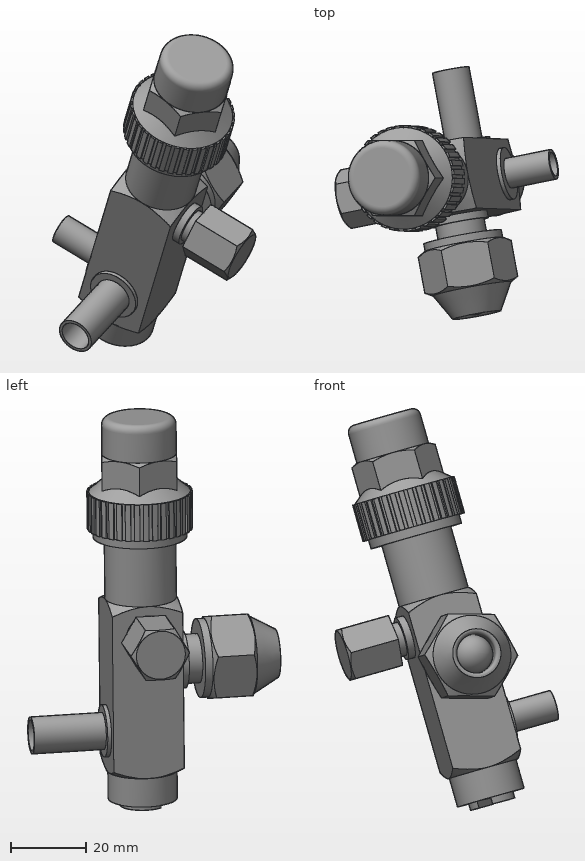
import cadquery as cq
import math


YAW = 10.8
TILT = 15.9
ROLL = 0.6

BLOCK_WIDTH = 19.1
BLOCK_BOTTOM = -39.2
BLOCK_TOP = 8.3
BLOCK_CORNER_ANGLE = 30.0
STEM_DIAMETER = 19.1

FOOT_DIAMETER = 18.5
FOOT_BOTTOM = -47.1
FOOT_BOSS_DIAMETER = 12.3
FOOT_BOSS_HEIGHT = 1.8
FOOT_SLOT_WIDTH = 4.0
FOOT_SLOT_ANGLE = 60.0

SIDE_BOSS_DIAMETER = 11.5
SIDE_BOSS_END = 11.5
SIDE_NECK_DIAMETER = 9.2
SIDE_CAP_START = 13.9
SIDE_CAP_END = 27.9
SIDE_CAP_FLATS = 13.8
SIDE_CAP_FACE_DIAMETER = 13.2

FLARE_LEVEL = -9.5
FLARE_BOSS_DIAMETER = 15.4
FLARE_BOSS_END = 11.5
FLARE_NECK_DIAMETER = 13.1
NUT_START = 15.4
NUT_COLLAR_DIAMETER = 21.0
NUT_HEX_START = 17.4
NUT_FLATS = 21.8
NUT_CONE_START = 29.5
NUT_END = 36.5
NUT_END_DIAMETER = 13.0
NUT_BORE_DIAMETER = 10.5
NUT_MOUTH_FILLET = 1.0
BONNET_RECESS = 0.1

TUBE_LEVEL = -28.0
TUBE_WALL = 0.9
TUBE_RING_HEIGHT = 1.1
BACK_TUBE_DIAMETER = 9.9
BACK_TUBE_END = 30.0
BACK_RING_DIAMETER = 14.0
RIGHT_TUBE_DIAMETER = 8.1
RIGHT_TUBE_END = 23.2
RIGHT_RING_DIAMETER = 14.0

CAP_BOTTOM = 25.2
CAP_COLLAR_DIAMETER = 25.1
KNURL_BOTTOM = 27.6
KNURL_TOP = 37.7
KNURL_DIAMETER = 28.1
KNURL_GROOVE_DEPTH = 0.5
KNURL_GROOVE_WIDTH = 1.0
KNURL_GROOVES = 36
KNURL_START_ANGLE = 12.0
SHOULDER_ANGLE = 40.0
CAP_HEX_FLATS = 20.0
CAP_HEX_TOP = 48.1
CAP_CROWN_DIAMETER = 19.9
CAP_TOP = 58.1
CAP_CROWN_FILLET = 2.0

HEX_CHAMFER_ANGLE = 30.0


def pose(body):
    """Turn an upright body to its leaning position."""
    origin = (0, 0, 0)
    body = body.rotate(origin, (0, 0, 1), YAW)
    body = body.rotate(origin, (0, 1, 0), -TILT)
    return body.rotate(origin, (1, 0, 0), -ROLL)


def cylinder(plane, diameter, start, end):
    """Cylinder along the normal of the plane, between two distances from it."""
    return cq.Workplane(plane).workplane(offset=start).circle(diameter / 2).extrude(end - start)


def hexagon(plane, flats, start, end):
    """Hexagon bar along the normal of the plane, with two corners on its x direction."""
    corners = flats / math.cos(math.pi / 6)
    return cq.Workplane(plane).workplane(offset=start).polygon(6, corners).extrude(end - start)


def turned(plane, profile):
    """Solid of revolution about the normal of the plane from (radius, distance) points."""
    start_distance = profile[0][1]
    end_distance = profile[-1][1]
    points = [(0, start_distance), *profile, (0, end_distance)]
    turning_plane = cq.Plane(plane.origin, plane.xDir, -plane.yDir)
    return cq.Workplane(turning_plane).polyline(points).close().revolve(360, (0, 0), (0, 1))


def corner_drop(inner_radius, outer_radius, angle):
    """Axial length of a turned corner chamfer at an angle to the end face."""
    return (outer_radius - inner_radius) * math.tan(math.radians(angle))


yaw = math.radians(YAW)
tilt = math.radians(TILT)
valve_axis = cq.Plane((0, 0, 0), (math.cos(yaw), -math.sin(yaw), 0), (0, 0, 1))
side_axis = cq.Plane((0, 0, 0), (0, 1, 0), (-1, 0, 0))
flare_axis = cq.Plane((0, 0, FLARE_LEVEL), (math.cos(tilt), 0, -math.sin(tilt)), (0, -1, 0))
back_tube_axis = cq.Plane((0, 0, TUBE_LEVEL), (1, 0, 0), (0, 1, 0))
right_tube_axis = cq.Plane((0, 0, TUBE_LEVEL), (0, 1, 0), (1, 0, 0))


def make_block():
    """Square bar with its corners turned down at both ends."""
    bar = cq.Workplane("XY").workplane(offset=BLOCK_BOTTOM)
    bar = bar.rect(BLOCK_WIDTH, BLOCK_WIDTH).extrude(BLOCK_TOP - BLOCK_BOTTOM)
    face_radius = BLOCK_WIDTH / 2
    corner_radius = BLOCK_WIDTH / math.sqrt(2)
    drop = corner_drop(face_radius, corner_radius, BLOCK_CORNER_ANGLE)
    envelope = turned(valve_axis, [
        (face_radius, BLOCK_BOTTOM),
        (corner_radius, BLOCK_BOTTOM + drop),
        (corner_radius, BLOCK_TOP - drop),
        (face_radius, BLOCK_TOP),
    ])
    return bar.intersect(envelope)


def make_foot():
    """Round foot that ends in a slotted boss."""
    boss_bottom = FOOT_BOTTOM - FOOT_BOSS_HEIGHT
    foot = cylinder(valve_axis, FOOT_DIAMETER, FOOT_BOTTOM, BLOCK_BOTTOM)
    boss = cylinder(valve_axis, FOOT_BOSS_DIAMETER, boss_bottom, FOOT_BOTTOM)
    slot = cq.Workplane("XY").workplane(offset=boss_bottom).transformed(rotate=(0, 0, FOOT_SLOT_ANGLE))
    slot = slot.rect(FOOT_BOSS_DIAMETER, FOOT_SLOT_WIDTH).extrude(FOOT_BOSS_HEIGHT)
    return foot.union(boss.cut(slot))


def add_tube(housing, axis, diameter, end, ring_diameter):
    """Open tube with a solder ring where it leaves the block."""
    face = BLOCK_WIDTH / 2
    ring = cylinder(axis, ring_diameter, face, face + TUBE_RING_HEIGHT)
    tube = cylinder(axis, diameter, face, end)
    bore = cylinder(axis, diameter - 2 * TUBE_WALL, face, end)
    return housing.union(ring).union(tube).cut(bore)


def make_housing():
    """Block with stem, foot, both port necks and both tubes."""
    face = BLOCK_WIDTH / 2
    housing = make_block().union(make_foot())
    housing = housing.union(cylinder(valve_axis, STEM_DIAMETER, BLOCK_TOP, CAP_BOTTOM))
    housing = housing.union(cylinder(side_axis, SIDE_BOSS_DIAMETER, face, SIDE_BOSS_END))
    housing = housing.union(cylinder(side_axis, SIDE_NECK_DIAMETER, face, SIDE_CAP_START))
    housing = housing.union(cylinder(flare_axis, FLARE_BOSS_DIAMETER, face, FLARE_BOSS_END))
    housing = housing.union(cylinder(flare_axis, FLARE_NECK_DIAMETER, face, NUT_START))
    housing = add_tube(housing, back_tube_axis, BACK_TUBE_DIAMETER, BACK_TUBE_END, BACK_RING_DIAMETER)
    return add_tube(housing, right_tube_axis, RIGHT_TUBE_DIAMETER, RIGHT_TUBE_END, RIGHT_RING_DIAMETER)


def make_side_cap():
    """Hexagon cap with its outer corners turned down."""
    face_radius = SIDE_CAP_FACE_DIAMETER / 2
    corner_radius = SIDE_CAP_FLATS / 2 / math.cos(math.pi / 6)
    drop = corner_drop(face_radius, corner_radius, HEX_CHAMFER_ANGLE)
    envelope = turned(side_axis, [
        (corner_radius, SIDE_CAP_START),
        (corner_radius, SIDE_CAP_END - drop),
        (face_radius, SIDE_CAP_END),
    ])
    return hexagon(side_axis, SIDE_CAP_FLATS, SIDE_CAP_START, SIDE_CAP_END).intersect(envelope)


def make_flare_nut():
    """Flare nut: round collar, hexagon with turned corners, cone and a through bore."""
    collar_radius = NUT_COLLAR_DIAMETER / 2
    corner_radius = NUT_FLATS / 2 / math.cos(math.pi / 6)
    drop = corner_drop(collar_radius, corner_radius, HEX_CHAMFER_ANGLE)
    envelope = turned(flare_axis, [
        (collar_radius, NUT_HEX_START),
        (corner_radius, NUT_HEX_START + drop),
        (corner_radius, NUT_CONE_START - drop),
        (collar_radius, NUT_CONE_START),
    ])
    collar = cylinder(flare_axis, NUT_COLLAR_DIAMETER, NUT_START, NUT_HEX_START)
    cone = turned(flare_axis, [(collar_radius, NUT_CONE_START), (NUT_END_DIAMETER / 2, NUT_END)])
    nut = hexagon(flare_axis, NUT_FLATS, NUT_HEX_START, NUT_CONE_START).intersect(envelope)
    nut = nut.union(collar).union(cone)
    nut = nut.cut(cylinder(flare_axis, NUT_BORE_DIAMETER, NUT_START, NUT_END))
    mouth = cq.selectors.RadiusNthSelector(0)
    return nut.faces("<Y").edges(mouth).fillet(NUT_MOUTH_FILLET)


def make_bonnet():
    """Plug with a domed tip that fills the bore of the flare nut."""
    dome_radius = NUT_BORE_DIAMETER / 2
    dome_start = NUT_END - BONNET_RECESS - dome_radius
    plug = cylinder(flare_axis, NUT_BORE_DIAMETER, NUT_START, dome_start)
    dome = cq.Workplane(flare_axis).workplane(offset=dome_start).sphere(dome_radius)
    return plug.union(dome)


def make_knurled_cap():
    """Stem cap: collar, grooved grip, conical shoulder, hexagon and rounded crown."""
    knurl_radius = KNURL_DIAMETER / 2
    root_radius = knurl_radius - KNURL_GROOVE_DEPTH
    grip = cylinder(valve_axis, KNURL_DIAMETER, KNURL_BOTTOM, KNURL_TOP)
    grooves = cq.Workplane(valve_axis).workplane(offset=KNURL_BOTTOM)
    grooves = grooves.polarArray(knurl_radius, KNURL_START_ANGLE, 360, KNURL_GROOVES)
    grooves = grooves.rect(2 * KNURL_GROOVE_DEPTH, KNURL_GROOVE_WIDTH).extrude(KNURL_TOP - KNURL_BOTTOM)
    grip = grip.cut(grooves)

    flat_radius = CAP_HEX_FLATS / 2
    corner_radius = flat_radius / math.cos(math.pi / 6)
    drop = corner_drop(flat_radius, corner_radius, HEX_CHAMFER_ANGLE)
    envelope = turned(valve_axis, [
        (corner_radius, KNURL_TOP),
        (corner_radius, CAP_HEX_TOP - drop),
        (flat_radius, CAP_HEX_TOP),
    ])
    grip_hexagon = hexagon(valve_axis, CAP_HEX_FLATS, KNURL_TOP, CAP_HEX_TOP).intersect(envelope)

    shoulder_top = KNURL_TOP + corner_drop(flat_radius, root_radius, SHOULDER_ANGLE)
    shoulder = turned(valve_axis, [(root_radius, KNURL_TOP), (flat_radius, shoulder_top)])
    collar = cylinder(valve_axis, CAP_COLLAR_DIAMETER, CAP_BOTTOM, KNURL_BOTTOM)
    crown = cylinder(valve_axis, CAP_CROWN_DIAMETER, CAP_HEX_TOP, CAP_TOP)
    crown = crown.faces(">Z").edges().fillet(CAP_CROWN_FILLET)
    return collar.union(grip).union(shoulder).union(grip_hexagon).union(crown)


housing = pose(make_housing())
side_cap = pose(make_side_cap())
flare_nut = pose(make_flare_nut())
bonnet = pose(make_bonnet())
knurled_cap = pose(make_knurled_cap())

result = cq.Compound.makeCompound([
    housing.val(),
    side_cap.val(),
    flare_nut.val(),
    bonnet.val(),
    knurled_cap.val(),
])